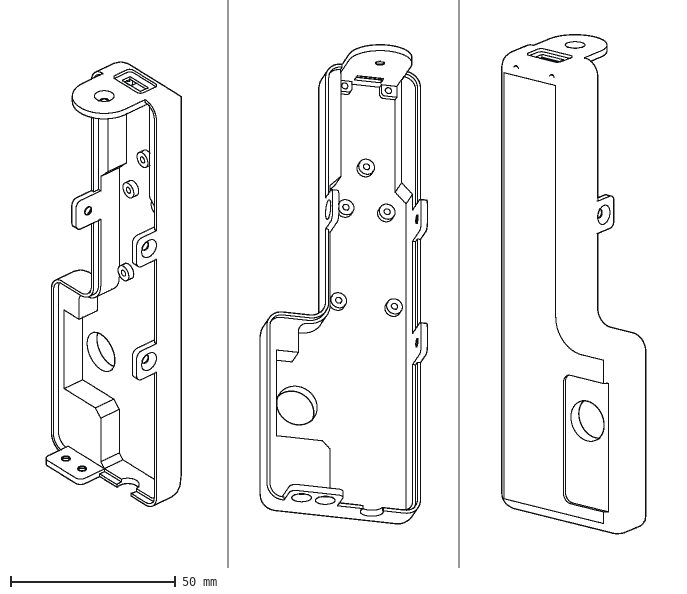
import cadquery as cq


body_width = 48.5
body_height = 147.0
body_depth = 14.5
neck_width = 30.0
neck_left = body_width - neck_width
neck_center = body_width - neck_width / 2
shoulder_z = 62.5
corner_radius = 5.0
back_chamfer = 4.99
chamfer_blend_radius = 5.0

wall = 2.0
lip_width = 1.0
lip_depth = 2.0
ledge_depth = body_depth - lip_depth
floor_thickness = 5.0
inner_left = neck_left + wall
inner_right = body_width - wall
inner_radius = corner_radius - wall
shoulder_inner_z = shoulder_z - wall
shoulder_arc_radius = corner_radius + wall
channel_half_width = 9.55
channel_start_z = 107.2
channel_taper = inner_right - neck_center - channel_half_width
bay_left = 3.6
bay_bottom = 22.0
bay_top = 50.5
bay_step_x = neck_left - corner_radius - inner_radius
block_chamfer = 2.5
block_foot_chamfer = 1.7

boss_diameter = 5.0
boss_height = 2.0
pilot_diameter = 1.93
pilot_end_depth = 2.1
boss_layout = [
    (0.0, 117.2),
    (-6.5, 103.0),
    (6.5, 103.0),
    (-8.8, 71.8),
    (8.8, 71.8),
]
corner_pad_width = 4.9
corner_pad_height = 3.6
corner_pad_radius = 1.2
corner_pilot_offset = 6.9
corner_pilot_z = 143.3

tab_reach = 22.5
tab_corner_radius = 2.0
tab_screw_depth = 17.5
screw_diameter = 2.65
countersink_diameter = 6.0
side_tab_length = 10.4
upper_tab_z = 96.8
lower_tab_z = 55.8
foot_tab_left = 5.4
foot_tab_right = 22.3
foot_screw_spacing = 7.5
ear_radius = 9.75
ear_center_depth = 22.5

grip_hole_diameter = 12.75
grip_hole_x = 12.05
grip_hole_z = 36.2
port_width = 8.3
port_height = 3.15
port_depth = 9.95
port_recess_width = 13.0
port_recess_height = 7.5
port_recess_radius = 1.5
port_recess_sink = 1.0
cable_notch_diameter = 7.0
cable_notch_depth = 13.0

panel_right = inner_left
panel_bottom = 8.7
panel_top = 50.0
panel_radius = 2.8
panel_sink = 1.0


def back_plane(depth=0.0):
    """Plane parallel to the back face, the given depth in front of it; extrusions go toward -Y."""
    return cq.Workplane("XZ", origin=(0, -depth, 0))


def prism(outline, start, end):
    """Extrude a closed outline between two depths measured from the back face."""
    return outline(back_plane(start)).extrude(end - start)


def outer_outline(inset):
    """Outline of the shell moved inward by a uniform inset."""
    left = inset
    right = body_width - inset
    bottom = inset
    top = body_height - inset
    step_x = neck_left + inset
    step_z = shoulder_z - inset
    convex = corner_radius - inset
    concave = corner_radius + inset

    def draw(plane):
        return (
            plane.moveTo(left + convex, bottom)
            .lineTo(right - convex, bottom)
            .radiusArc((right, bottom + convex), -convex)
            .lineTo(right, top - convex)
            .radiusArc((right - convex, top), -convex)
            .lineTo(step_x + convex, top)
            .radiusArc((step_x, top - convex), -convex)
            .lineTo(step_x, step_z + concave)
            .radiusArc((step_x - concave, step_z), concave)
            .lineTo(left + convex, step_z)
            .radiusArc((left, step_z - convex), -convex)
            .lineTo(left, bottom + convex)
            .radiusArc((left + convex, bottom), -convex)
            .close()
        )

    return draw


def make_shell():
    """Solid body whose back edge is chamfered and then blended into the side walls."""
    shell = prism(outer_outline(0), 0, body_depth)
    shell = shell.faces(">Y").edges().chamfer(back_chamfer)
    tolerance = 0.005
    chamfer_foot = cq.selectors.BoxSelector(
        (-tolerance, -back_chamfer - tolerance, -tolerance),
        (body_width + tolerance, -back_chamfer + tolerance, body_height + tolerance),
    )
    return shell.edges(chamfer_foot).fillet(chamfer_blend_radius)


def pocket_outline(plane):
    """Outline of the deep pocket: narrow channel, main bay and side bay beside the lower block."""
    channel_left = neck_center - channel_half_width
    channel_right = neck_center + channel_half_width
    channel_end_z = channel_start_z + channel_taper
    return (
        plane.moveTo(inner_left + block_foot_chamfer, wall)
        .lineTo(inner_right - inner_radius, wall)
        .radiusArc((inner_right, wall + inner_radius), -inner_radius)
        .lineTo(inner_right, channel_start_z)
        .lineTo(channel_right, channel_end_z)
        .lineTo(channel_right, body_height - wall)
        .lineTo(channel_left, body_height - wall)
        .lineTo(channel_left, channel_end_z)
        .lineTo(inner_left, channel_start_z)
        .lineTo(inner_left, shoulder_inner_z + shoulder_arc_radius)
        .radiusArc((inner_left - shoulder_arc_radius, shoulder_inner_z), shoulder_arc_radius)
        .radiusArc((bay_step_x, shoulder_inner_z - inner_radius), -inner_radius)
        .lineTo(bay_step_x, bay_top)
        .lineTo(bay_left, bay_top)
        .lineTo(bay_left, bay_bottom)
        .lineTo(inner_left - block_chamfer, bay_bottom)
        .lineTo(inner_left, bay_bottom - block_chamfer)
        .lineTo(inner_left, wall + block_foot_chamfer)
        .close()
    )


def make_boss(x, z):
    """Round screw boss standing on the pocket floor."""
    return back_plane(floor_thickness).center(x, z).circle(boss_diameter / 2).extrude(boss_height)


def make_pilot(x, z):
    """Cutter for a blind screw hole that opens toward the pocket and ends inside the floor."""
    length = ledge_depth - pilot_end_depth
    return back_plane(pilot_end_depth).center(x, z).circle(pilot_diameter / 2).extrude(length)


def make_corner_pad(side):
    """Pad in an upper corner of the channel, with its free corner rounded; side is -1 or 1."""
    center_x = neck_center + side * (channel_half_width - corner_pad_width / 2)
    center_z = body_height - wall - corner_pad_height / 2
    pad = (
        back_plane(floor_thickness)
        .center(center_x, center_z)
        .rect(corner_pad_width, corner_pad_height)
        .extrude(boss_height)
    )
    free_side = "<X" if side > 0 else ">X"
    return pad.edges(f"|Y and <Z and {free_side}").fillet(corner_pad_radius)


def make_screw_hole(point, inward):
    """Cutter for a countersunk hole through a tab; point is on its outer face."""
    plane = cq.Plane(origin=point, normal=inward)
    sink_depth = (countersink_diameter - screw_diameter) / 2
    hole = cq.Workplane(plane).circle(screw_diameter / 2).extrude(wall)
    sink = cq.Solid.makeCone(
        countersink_diameter / 2,
        screw_diameter / 2,
        sink_depth,
        pnt=cq.Vector(*point),
        dir=cq.Vector(*inward),
    )
    return hole.union(cq.Workplane(sink))


def make_side_tab(outer_x, inward, z):
    """Tab on a side wall; its outer face is at outer_x and it thickens along inward (-1 or 1)."""
    tab = (
        cq.Workplane("YZ", origin=(outer_x, 0, 0))
        .center(-(ledge_depth + tab_reach) / 2, z)
        .rect(tab_reach - ledge_depth, side_tab_length)
        .extrude(inward * wall)
    )
    tab = tab.edges("|X and <Y").fillet(tab_corner_radius)
    return tab.cut(make_screw_hole((outer_x, -tab_screw_depth, z), (inward, 0, 0)))


def make_foot_tab():
    """Wide tab at the lower end with two screw holes countersunk from below."""
    width = foot_tab_right - foot_tab_left
    center_x = (foot_tab_left + foot_tab_right) / 2
    tab = (
        cq.Workplane("XY")
        .center(center_x, -(ledge_depth + tab_reach) / 2)
        .rect(width, tab_reach - ledge_depth)
        .extrude(wall)
    )
    tab = tab.edges("|Z and <Y").fillet(tab_corner_radius)
    for side in (-1, 1):
        x = center_x + side * foot_screw_spacing / 2
        tab = tab.cut(make_screw_hole((x, -tab_screw_depth, 0), (0, 0, 1)))
    return tab


def make_ear():
    """Round-ended mounting ear that continues the upper end wall."""
    ear = (
        cq.Workplane("XY", origin=(neck_center, 0, body_height - wall))
        .moveTo(-ear_radius, -ledge_depth)
        .lineTo(-ear_radius, -ear_center_depth)
        .radiusArc((ear_radius, -ear_center_depth), -ear_radius)
        .lineTo(ear_radius, -ledge_depth)
        .close()
        .extrude(wall)
    )
    return ear.cut(make_screw_hole((neck_center, -ear_center_depth, body_height), (0, 0, -1)))


def make_port():
    """Cutter for the connector slot in the upper end wall and the recess around it."""
    top = cq.Workplane("XY", origin=(neck_center, -port_depth, body_height))
    slot = top.rect(port_width, port_height).extrude(-wall)
    recess = top.rect(port_recess_width, port_recess_height).extrude(-port_recess_sink)
    return slot.union(recess.edges("|Z").fillet(port_recess_radius))


def make_cable_notch():
    """Cutter for the round cable notch in the rim of the lower end wall."""
    return (
        cq.Workplane("XY")
        .center(neck_center, -cable_notch_depth)
        .circle(cable_notch_diameter / 2)
        .extrude(wall)
    )


def make_panel_recess():
    """Cutter for the shallow recess in the back face."""
    recess = (
        back_plane()
        .moveTo(panel_right / 2, (panel_bottom + panel_top) / 2)
        .rect(panel_right, panel_top - panel_bottom)
        .extrude(panel_sink)
    )
    return recess.edges("|Y and >X").fillet(panel_radius)


result = make_shell()
result = result.cut(prism(outer_outline(lip_width), ledge_depth, body_depth))
result = result.cut(prism(pocket_outline, floor_thickness, ledge_depth))

pilots = []
for offset_x, boss_z in boss_layout:
    result = result.union(make_boss(neck_center + offset_x, boss_z))
    pilots.append((neck_center + offset_x, boss_z))
for pad_side in (-1, 1):
    result = result.union(make_corner_pad(pad_side))
    pilots.append((neck_center + pad_side * corner_pilot_offset, corner_pilot_z))
for pilot_x, pilot_z in pilots:
    result = result.cut(make_pilot(pilot_x, pilot_z))

result = result.union(make_side_tab(neck_left, 1, upper_tab_z))
result = result.union(make_side_tab(body_width, -1, upper_tab_z))
result = result.union(make_side_tab(body_width, -1, lower_tab_z))
result = result.union(make_foot_tab())
result = result.union(make_ear())

grip_hole = back_plane().center(grip_hole_x, grip_hole_z).circle(grip_hole_diameter / 2)
result = result.cut(grip_hole.extrude(floor_thickness))
result = result.cut(make_port())
result = result.cut(make_cable_notch())
result = result.cut(make_panel_recess())